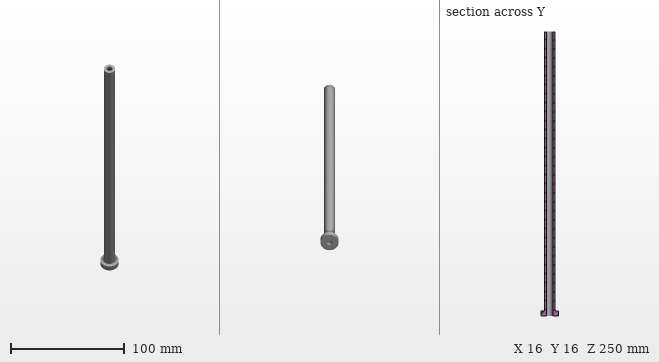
import cadquery as cq

total_length = 250
head_diameter = 16.0
head_height = 5
shaft_diameter = 10
bore_diameter = 5
neck_fillet_radius = 0.5

head_radius = head_diameter / 2
shaft_radius = shaft_diameter / 2
bore_radius = bore_diameter / 2

half_section = (
    cq.Workplane("XZ")
    .moveTo(bore_radius, 0)
    .lineTo(head_radius, 0)
    .lineTo(head_radius, head_height)
    .lineTo(shaft_radius + neck_fillet_radius, head_height)
    .radiusArc((shaft_radius, head_height + neck_fillet_radius), neck_fillet_radius)
    .lineTo(shaft_radius, total_length)
    .lineTo(bore_radius, total_length)
    .close()
)

result = half_section.revolve(360, (0, 0, 0), (0, 1, 0))